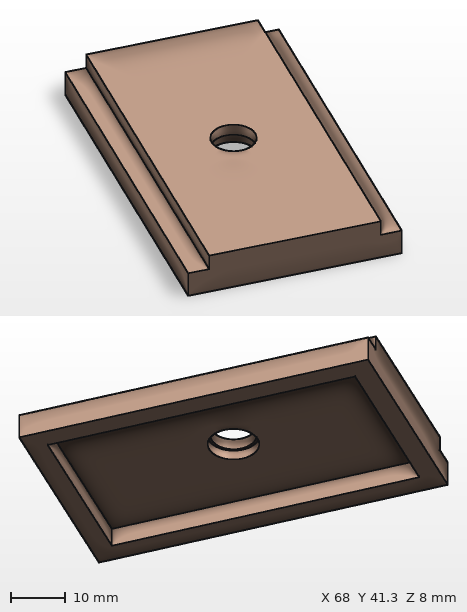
import cadquery as cq

length = 68.0
width = 41.3
height = 8.0

tongue_width = 33.2
flange_height = 5.0
flange_width = (width - tongue_width) / 2

roof_thickness = 4.2
pocket_depth = height - roof_thickness
pocket_length = length - 2 * flange_width
pocket_width = width - 2 * flange_width

hole_diameter = 8.4
lip_thickness = 2.25
recess_diameter = 9.4


def block(size_x, size_y, size_z):
    """Centred box standing on Z = 0."""
    return cq.Workplane("XY").box(size_x, size_y, size_z, centered=(True, True, False))


def cylinder(diameter, top):
    """Upright central cylinder from Z = 0 to the given top."""
    return cq.Workplane("XY").circle(diameter / 2).extrude(top)


flanges = block(length, width, flange_height)
tongue = block(length, tongue_width, height)
pocket = block(pocket_length, pocket_width, pocket_depth)
hole = cylinder(hole_diameter, height)
recess = cylinder(recess_diameter, height - lip_thickness)

result = flanges.union(tongue).cut(pocket).cut(hole).cut(recess)